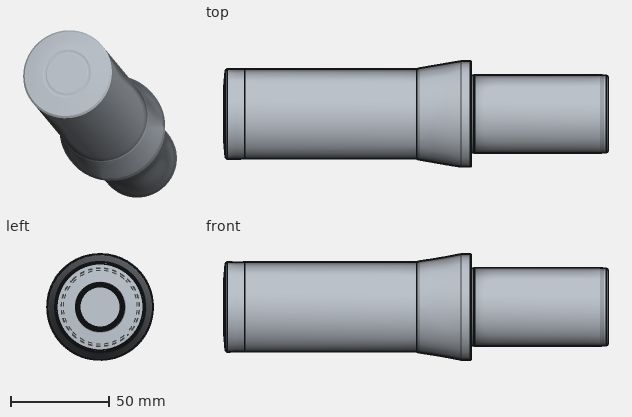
import cadquery as cq

total_length = 196.0
head_diameter = 46.0
body_diameter = 45.9
flare_start_diameter = 46.6
flare_end_diameter = 53.9
collar_diameter = 54.0
shank_diameter = 40.0
relief_diameter = 39.5

head_length = 10.8
body_end = 98.4
flare_start = 99.4
flare_end = 120.5
collar_start = 121.1
collar_end = 126.0
shank_start = 128.0
shank_end = 192.0
tail_start = 193.3

face_cone_depth = 0.8
face_flat_diameter = 25.5

groove_inner_diameter = 20.8
groove_outer_diameter = 24.7
groove_wall_run = 0.5
groove_depth = 0.2

head_chamfer = 1.0
collar_chamfer = 0.4
shank_chamfer = 0.5
tail_chamfer = 1.0


def revolve_about_x(outline):
    """Turn a closed (x, radius) outline about the X axis."""
    return cq.Workplane("XY").polyline(outline).close().revolve(360, (0, 0, 0), (1, 0, 0))


def make_head():
    """Cutting head: slightly wider at the front, tapering back to the body diameter."""
    head_radius = head_diameter / 2
    groove_inner_radius = groove_inner_diameter / 2
    groove_outer_radius = groove_outer_diameter / 2
    outline = [
        (0, 0),
        (0, groove_inner_radius),
        (groove_depth, groove_inner_radius + groove_wall_run),
        (groove_depth, groove_outer_radius - groove_wall_run),
        (0, groove_outer_radius),
        (0, face_flat_diameter / 2),
        (face_cone_depth, head_radius - head_chamfer),
        (face_cone_depth + head_chamfer, head_radius),
        (head_length, body_diameter / 2),
        (head_length, 0),
    ]
    return revolve_about_x(outline)


def make_holder():
    """Holder: round body, flared collar, and a shank with a relief at each end."""
    body_radius = body_diameter / 2
    collar_radius = collar_diameter / 2
    shank_radius = shank_diameter / 2
    relief_radius = relief_diameter / 2
    outline = [
        (head_length, 0),
        (head_length, body_radius),
        (body_end, body_radius),
        (flare_start, flare_start_diameter / 2),
        (flare_end, flare_end_diameter / 2),
        (collar_start, collar_radius),
        (collar_end - collar_chamfer, collar_radius),
        (collar_end, collar_radius - collar_chamfer),
        (collar_end, relief_radius),
        (shank_start - shank_chamfer, relief_radius),
        (shank_start, shank_radius),
        (shank_end, shank_radius),
        (tail_start, relief_radius),
        (total_length - tail_chamfer, relief_radius),
        (total_length, relief_radius - tail_chamfer),
        (total_length, 0),
    ]
    return revolve_about_x(outline)


head = make_head()
holder = make_holder()
result = cq.Compound.makeCompound([head.val(), holder.val()])